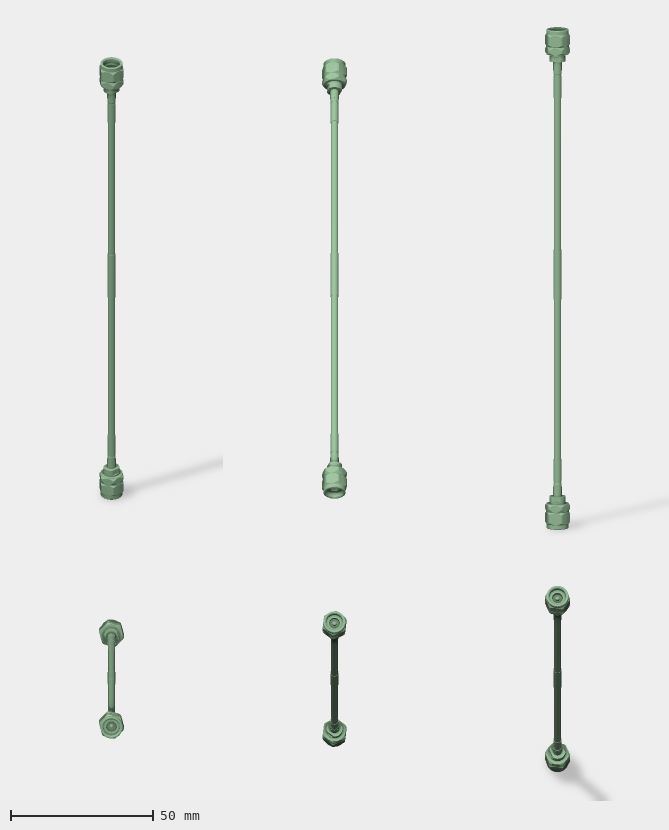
import cadquery as cq
import math

overall_length = 178.56
end_z = overall_length / 2


nut_across_flats = 7.92
nut_corner_diameter = 8.88
nut_length = 8.85
nut_collar_diameter = 7.78
nut_collar_length = 1.6
nut_front_chamfer = 0.2
nut_rear_collar_length = 0.12
nut_chamfer_length = 0.66
nut_groove_chamfer_length = 1.16
nut_groove_depth = 5.98
nut_bore_diameter = 5.92
nut_bore_depth = 4.5
nut_mouth_chamfer = 0.3

barrel_diameter = nut_bore_diameter
shank_diameter = 4.6
barrel_front_depth = 2.0
socket_diameter = 3.8
socket_floor_depth = 3.6
flange_diameter = 5.58
flange_across_flats = 4.7
flats_front_depth = 9.5
flange_back_depth = 11.4
neck_diameter = 3.0
land_diameter = 2.94
land_front_depth = 14.8
land_back_depth = 16.25
land_chamfer = 0.1
land_chamfer_length = 0.4

sleeve_diameter = 2.82
sleeve_front_depth = 16.7
sleeve_back_depth = 24.5

jacket_diameter = 2.6
jacket_front_depth = flange_back_depth
conductor_diameter = 1.3
pin_front_depth = 2.2
pin_tip_chamfer = 0.25

label_diameter = sleeve_diameter
label_length = 17.75
label_center_z = 1.4


def cylinder(diameter, start_depth, end_depth):
    """A solid round bar on the axis between two positions."""
    return (
        cq.Workplane("XY")
        .workplane(offset=start_depth)
        .circle(diameter / 2)
        .extrude(end_depth - start_depth)
    )


def tube(outer_diameter, bore_diameter, start_depth, end_depth):
    bore = cylinder(bore_diameter, start_depth, end_depth)
    return cylinder(outer_diameter, start_depth, end_depth).cut(bore)


def make_nut():
    corner_radius = nut_corner_diameter / 2
    collar_radius = nut_collar_diameter / 2
    rear_collar_depth = nut_length - nut_rear_collar_length
    hexagon = (
        cq.Workplane("XY")
        .polygon(6, nut_across_flats / math.cos(math.pi / 6))
        .extrude(nut_length)
        .rotate((0, 0, 0), (0, 0, 1), 30)
    )
    envelope = (
        cq.Workplane("XZ")
        .moveTo(0, 0)
        .lineTo(collar_radius - nut_front_chamfer, 0)
        .lineTo(collar_radius, nut_front_chamfer)
        .lineTo(collar_radius, nut_collar_length)
        .lineTo(corner_radius, nut_collar_length + nut_chamfer_length)
        .lineTo(corner_radius, nut_groove_depth - nut_chamfer_length)
        .lineTo(collar_radius, nut_groove_depth)
        .lineTo(corner_radius, nut_groove_depth + nut_groove_chamfer_length)
        .lineTo(corner_radius, rear_collar_depth - nut_chamfer_length)
        .lineTo(collar_radius, rear_collar_depth)
        .lineTo(collar_radius, nut_length)
        .lineTo(0, nut_length)
        .close()
        .revolve(360, (0, 0, 0), (0, 1, 0))
    )
    mouth_radius = nut_bore_diameter / 2 + nut_mouth_chamfer
    mouth = cq.Workplane("XY").circle(mouth_radius).extrude(nut_mouth_chamfer, taper=45)
    return (
        hexagon.intersect(envelope)
        .cut(cylinder(nut_bore_diameter, 0, nut_bore_depth))
        .cut(mouth)
        .cut(cylinder(shank_diameter, nut_bore_depth, nut_length))
    )


def make_body():
    flat_thickness = (flange_diameter - flange_across_flats) / 2
    flats_length = flange_back_depth - flats_front_depth
    flats = (
        cq.Workplane("XY")
        .workplane(offset=flats_front_depth)
        .pushPoints([(side * (flange_across_flats + flat_thickness) / 2, 0) for side in (-1, 1)])
        .rect(flat_thickness, flange_diameter)
        .extrude(flats_length)
    )
    neck = cylinder(neck_diameter, flange_back_depth, land_front_depth)
    land = cylinder(land_diameter, land_front_depth, land_back_depth)
    land = land.faces(">Z").chamfer(land_chamfer_length, land_chamfer)
    return (
        cylinder(barrel_diameter, barrel_front_depth, nut_bore_depth)
        .union(cylinder(shank_diameter, nut_bore_depth, nut_length))
        .union(cylinder(flange_diameter, nut_length, flange_back_depth).cut(flats))
        .union(neck)
        .union(land)
        .cut(cylinder(socket_diameter, barrel_front_depth, socket_floor_depth))
        .cut(cylinder(conductor_diameter, socket_floor_depth, jacket_front_depth))
        .cut(cylinder(jacket_diameter, jacket_front_depth, land_back_depth))
    )


def make_sleeve():
    return tube(sleeve_diameter, jacket_diameter, sleeve_front_depth, sleeve_back_depth)


def place(part, end):
    """Move a plug part from depths along the axis to the top (1) or bottom (-1) end."""
    turned = part.rotate((0, 0, 0), (1, 0, 0), 180) if end > 0 else part
    return turned.translate((0, 0, end * end_z))


def make_conductor():
    bar = cylinder(conductor_diameter, pin_front_depth - end_z, end_z - pin_front_depth)
    return bar.faces("<Z or >Z").chamfer(pin_tip_chamfer)


def make_jacket():
    half_length = end_z - jacket_front_depth
    return tube(jacket_diameter, conductor_diameter, -half_length, half_length)


def make_label():
    start = label_center_z - label_length / 2
    end = label_center_z + label_length / 2
    return tube(label_diameter, jacket_diameter, start, end)


bodies = [make_conductor().val(), make_jacket().val(), make_label().val()]
for end in (1, -1):
    for make_part in (make_nut, make_body, make_sleeve):
        bodies.append(place(make_part(), end).val())

result = cq.Compound.makeCompound(bodies)